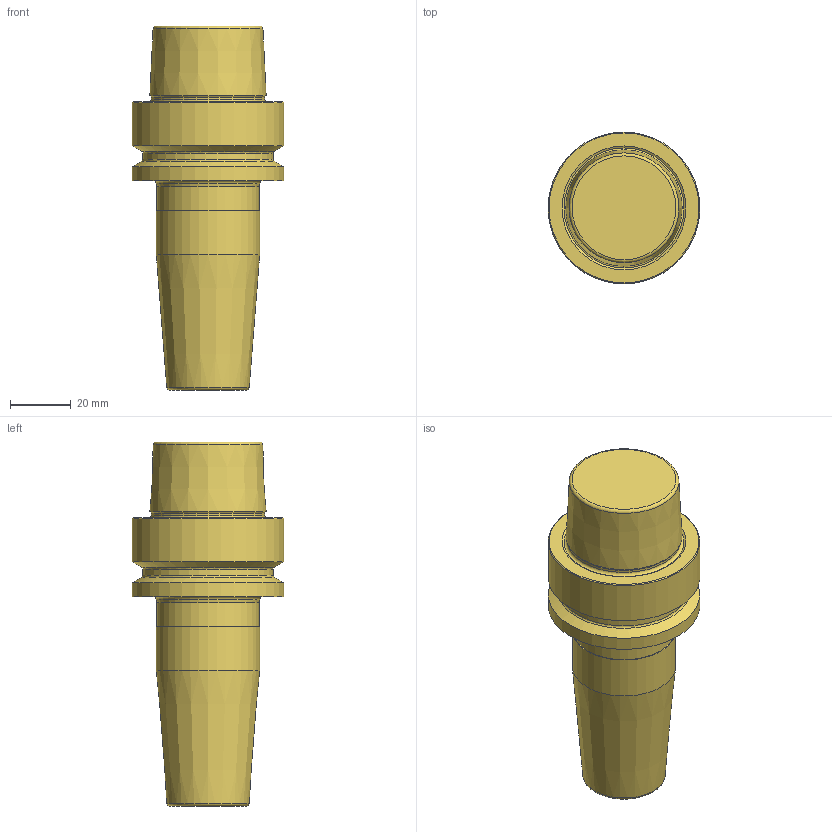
import cadquery as cq
import math


SHANK_LENGTH = 24.9
SHANK_TOP_RADIUS = 18.05
SHANK_END_ROUND = 1.0
CONE_BASE_RADIUS = 19.15
CONE_BASE_Z = 2.0

RELIEF_RADIUS = 18.75
RELIEF_TOP_Z = 1.4
RELIEF_FILLET = 1.0
RELIEF_DEPTH = 0.4
RELIEF_OUTER_RADIUS = 20.4

FLANGE_RADIUS = 25.0
FLANGE_WIDTH = 26.0
FLANGE_CHAMFER = 0.3
GROOVE_CENTRE_Z = -18.0
GROOVE_FLOOR_RADIUS = 21.5
GROOVE_MOUTH_WIDTH = 7.0
GROOVE_WALL_SLOPE = 30.0
GROOVE_FILLET = 0.8

BODY_LENGTH = 69.0
BODY_RADIUS = 17.0
NECK_RADIUS = 16.8
NECK_ROOT_FILLET = 1.0
NECK_ROOT_LENGTH = 2.0
NECK_LENGTH = 10.0
TIP_RADIUS = 13.5
TIP_ROUND = 1.0
BODY_TAPER_ANGLE = 4.5

FLANGE_BOTTOM_Z = -FLANGE_WIDTH
TIP_Z = FLANGE_BOTTOM_Z - BODY_LENGTH
HALF_ARC = math.sqrt(0.5)


def revolve(profile):
    """Turn a closed profile, drawn as (radius, Z), about the Z axis."""
    return profile.close().revolve(360, (0, 0, 0), (0, 1, 0))


def make_shank():
    """Taper shank with a rounded end, standing on its filleted relief."""
    fillet_top_z = RELIEF_FILLET - RELIEF_DEPTH
    fillet_outer_radius = RELIEF_RADIUS + RELIEF_FILLET
    fillet_middle = (
        fillet_outer_radius - RELIEF_FILLET * HALF_ARC,
        fillet_top_z - RELIEF_FILLET * HALF_ARC,
    )
    shank = revolve(
        cq.Workplane("XZ")
        .moveTo(0, -RELIEF_DEPTH)
        .lineTo(fillet_outer_radius, -RELIEF_DEPTH)
        .threePointArc(fillet_middle, (RELIEF_RADIUS, fillet_top_z))
        .lineTo(RELIEF_RADIUS, RELIEF_TOP_Z)
        .lineTo(CONE_BASE_RADIUS, CONE_BASE_Z)
        .lineTo(SHANK_TOP_RADIUS, SHANK_LENGTH)
        .lineTo(0, SHANK_LENGTH)
    )
    return shank.faces(">Z").edges().fillet(SHANK_END_ROUND)


def make_flange():
    """Flange disc with chamfered upper rim and the conical relief sunk into its upper face."""
    flange = (
        cq.Workplane("XY", origin=(0, 0, FLANGE_BOTTOM_Z))
        .circle(FLANGE_RADIUS)
        .extrude(FLANGE_WIDTH)
        .faces(">Z")
        .chamfer(FLANGE_CHAMFER)
    )
    relief = revolve(
        cq.Workplane("XZ")
        .moveTo(0, -RELIEF_DEPTH)
        .lineTo(RELIEF_RADIUS + RELIEF_FILLET, -RELIEF_DEPTH)
        .lineTo(RELIEF_OUTER_RADIUS, 0)
        .lineTo(0, 0)
    )
    return flange.cut(relief)


def make_groove():
    """Trapezoidal ring that cuts the gripper groove, with rounded floor corners."""
    half_mouth = GROOVE_MOUTH_WIDTH / 2
    wall_rise = (FLANGE_RADIUS - GROOVE_FLOOR_RADIUS) * math.tan(math.radians(GROOVE_WALL_SLOPE))
    half_floor = half_mouth - wall_rise
    ring = revolve(
        cq.Workplane("XZ")
        .moveTo(FLANGE_RADIUS, GROOVE_CENTRE_Z - half_mouth)
        .lineTo(FLANGE_RADIUS, GROOVE_CENTRE_Z + half_mouth)
        .lineTo(GROOVE_FLOOR_RADIUS, GROOVE_CENTRE_Z + half_floor)
        .lineTo(GROOVE_FLOOR_RADIUS, GROOVE_CENTRE_Z - half_floor)
    )
    floor_corners = ring.edges(cq.selectors.RadiusNthSelector(0))
    return floor_corners.fillet(GROOVE_FILLET)


def make_body():
    """Chuck body: filleted root, slim neck, cylindrical land and conical nose."""
    neck_end_z = FLANGE_BOTTOM_Z - NECK_LENGTH
    nose_length = (BODY_RADIUS - TIP_RADIUS) / math.tan(math.radians(BODY_TAPER_ANGLE))
    fillet_end_z = FLANGE_BOTTOM_Z - NECK_ROOT_FILLET
    fillet_outer_radius = BODY_RADIUS + NECK_ROOT_FILLET
    fillet_middle = (
        fillet_outer_radius - NECK_ROOT_FILLET * HALF_ARC,
        fillet_end_z + NECK_ROOT_FILLET * HALF_ARC,
    )
    body = revolve(
        cq.Workplane("XZ")
        .moveTo(0, FLANGE_BOTTOM_Z)
        .lineTo(fillet_outer_radius, FLANGE_BOTTOM_Z)
        .threePointArc(fillet_middle, (BODY_RADIUS, fillet_end_z))
        .lineTo(NECK_RADIUS, FLANGE_BOTTOM_Z - NECK_ROOT_LENGTH)
        .lineTo(NECK_RADIUS, neck_end_z)
        .lineTo(BODY_RADIUS, neck_end_z)
        .lineTo(BODY_RADIUS, TIP_Z + nose_length)
        .lineTo(TIP_RADIUS, TIP_Z)
        .lineTo(0, TIP_Z)
    )
    return body.faces("<Z").edges().fillet(TIP_ROUND)


result = make_flange().cut(make_groove()).union(make_shank()).union(make_body())